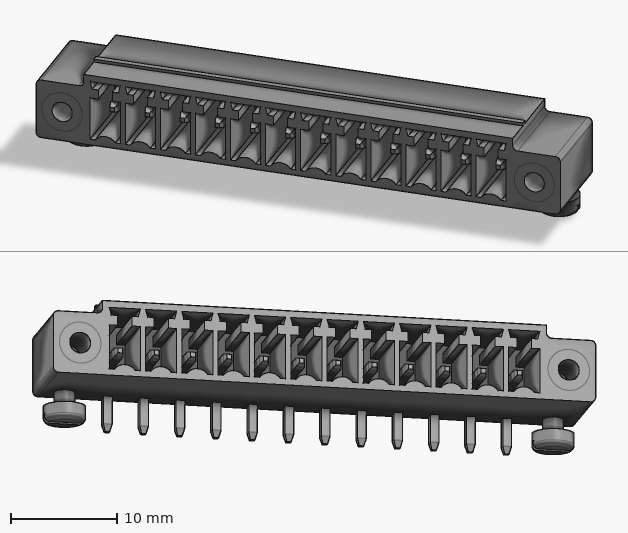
import cadquery as cq


LENGTH = 52.3
DEPTH = 9.2
HEIGHT = 7.25
FLANGE_HEIGHT = 6.0
FLANGE_LENGTH = 4.75
CORNER_RADIUS = 0.5
BLOCK_LENGTH = LENGTH - 2 * FLANGE_LENGTH

RIB_HEIGHT = 0.3
RIB_WIDTH = 0.6
RIB_FRONT = 2.9

PIN_COUNT = 12
PITCH = 3.5
PIN_SIZE = 0.84
PIN_LENGTH_BELOW = 3.4
PIN_AXIS_HEIGHT = FLANGE_HEIGHT / 2
PIN_TIP_SETBACK = 2.0
PIN_TAIL_SETBACK = 1.2
TIP_TAPER_LENGTH = 0.7
TIP_SIZE = 0.45

CHAMBER_WIDTH = 3.0
CHAMBER_DEPTH = 7.0
CHAMBER_FLOOR = 0.6
CHAMBER_SHOULDER = 4.9
CHAMBER_TOP = 6.6
NECK_WIDTH = 1.4
NECK_TOP = 5.85
KEY_BASE_WIDTH = 2.6
RIDGE_WIDTH = 2.0
RIDGE_HEIGHT = 0.5

INSERT_X = LENGTH / 2 - 2.6
INSERT_DIAMETER = 4.0
INSERT_BORE = 2.0
INSERT_DEPTH = 5.0
SCREW_SETBACK = 2.1
SCREW_DIAMETER = 2.0
SCREW_EMBEDDED = 2.0
HEAD_DIAMETER = 4.0
HEAD_TOP = -1.4
HEAD_HEIGHT = 1.6
HEAD_EDGE_RADIUS = 0.5
SLOT_WIDTH = 0.6
SLOT_DEPTH = 0.8


def make_housing():
    """Long block with a lower flange at each end and a rib along its top."""
    flanges = cq.Workplane("XY").box(LENGTH, DEPTH, FLANGE_HEIGHT, centered=(True, False, False))
    block = cq.Workplane("XY").box(BLOCK_LENGTH, DEPTH, HEIGHT, centered=(True, False, False))
    rib = (
        cq.Workplane("XY", origin=(0, RIB_FRONT, HEIGHT))
        .box(BLOCK_LENGTH, RIB_WIDTH, RIB_HEIGHT, centered=(True, False, False))
    )
    housing = flanges.union(block)
    for side in (-1, 1):
        for corner in (
            (side * LENGTH / 2, DEPTH / 2, 0),
            (side * LENGTH / 2, DEPTH / 2, FLANGE_HEIGHT),
            (side * BLOCK_LENGTH / 2, DEPTH / 2, FLANGE_HEIGHT),
        ):
            edge = cq.selectors.NearestToPointSelector(corner)
            housing = housing.edges("|Y").edges(edge).fillet(CORNER_RADIUS)
    return housing.union(rib)


def make_chamber(x):
    """Keyed pocket for one contact, with a rounded ridge along its floor."""
    half = CHAMBER_WIDTH / 2
    half_neck = NECK_WIDTH / 2
    half_key = KEY_BASE_WIDTH / 2
    half_ridge = RIDGE_WIDTH / 2
    outline = (
        cq.Workplane("XZ", origin=(x, 0, 0))
        .moveTo(-half, CHAMBER_FLOOR)
        .lineTo(-half_ridge, CHAMBER_FLOOR)
        .threePointArc((0, CHAMBER_FLOOR + RIDGE_HEIGHT), (half_ridge, CHAMBER_FLOOR))
        .lineTo(half, CHAMBER_FLOOR)
        .lineTo(half, CHAMBER_SHOULDER)
        .lineTo(half_neck, CHAMBER_SHOULDER)
        .lineTo(half_neck, NECK_TOP)
        .lineTo(half_key, NECK_TOP)
        .lineTo(half, CHAMBER_TOP)
        .lineTo(-half, CHAMBER_TOP)
        .lineTo(-half_key, NECK_TOP)
        .lineTo(-half_neck, NECK_TOP)
        .lineTo(-half_neck, CHAMBER_SHOULDER)
        .lineTo(-half, CHAMBER_SHOULDER)
        .close()
    )
    return outline.extrude(-CHAMBER_DEPTH)


def make_tapered_bar(start_plane, length):
    """Square bar that ends in a tapered tip, extruded along the plane's normal."""
    shank_length = length - TIP_TAPER_LENGTH
    shank = cq.Workplane(start_plane).rect(PIN_SIZE, PIN_SIZE).extrude(shank_length)
    tip = (
        shank.faces(cq.selectors.DirectionMinMaxSelector(start_plane.zDir))
        .workplane()
        .rect(PIN_SIZE, PIN_SIZE)
        .workplane(offset=TIP_TAPER_LENGTH)
        .rect(TIP_SIZE, TIP_SIZE)
        .loft(combine=False)
    )
    return shank.union(tip)


def make_pin(x):
    """Right-angle contact: mating end toward -Y, solder tail toward -Z."""
    tail_y = DEPTH - PIN_TAIL_SETBACK
    bend = (x, tail_y, PIN_AXIS_HEIGHT)
    toward_front = cq.Plane(origin=bend, xDir=(1, 0, 0), normal=(0, -1, 0))
    downward = cq.Plane(origin=bend, xDir=(1, 0, 0), normal=(0, 0, -1))
    mating_end = make_tapered_bar(toward_front, tail_y - PIN_TIP_SETBACK)
    tail = make_tapered_bar(downward, PIN_AXIS_HEIGHT + PIN_LENGTH_BELOW)
    return mating_end.union(tail)


def make_insert(x):
    """Bored sleeve that sits flush with the mating face."""
    return (
        cq.Workplane("XZ", origin=(x, 0, FLANGE_HEIGHT / 2))
        .circle(INSERT_DIAMETER / 2)
        .circle(INSERT_BORE / 2)
        .extrude(-INSERT_DEPTH)
    )


def make_insert_seat(x):
    """Blind hole that receives an insert."""
    return (
        cq.Workplane("XZ", origin=(x, 0, FLANGE_HEIGHT / 2))
        .circle(INSERT_DIAMETER / 2)
        .extrude(-INSERT_DEPTH)
    )


def make_screw(x):
    """Slotted mounting screw hanging below a flange."""
    y = DEPTH - SCREW_SETBACK
    head_bottom = HEAD_TOP - HEAD_HEIGHT
    shaft = (
        cq.Workplane("XY", origin=(x, y, HEAD_TOP))
        .circle(SCREW_DIAMETER / 2)
        .extrude(SCREW_EMBEDDED - HEAD_TOP)
    )
    head = (
        cq.Workplane("XY", origin=(x, y, head_bottom))
        .circle(HEAD_DIAMETER / 2)
        .extrude(HEAD_HEIGHT)
        .faces("<Z")
        .edges()
        .fillet(HEAD_EDGE_RADIUS)
    )
    slot = (
        cq.Workplane("XY", origin=(x, y, head_bottom))
        .box(HEAD_DIAMETER, SLOT_WIDTH, SLOT_DEPTH, centered=(True, True, False))
    )
    return head.cut(slot).union(shaft)


pin_positions = [(i - (PIN_COUNT - 1) / 2) * PITCH for i in range(PIN_COUNT)]

result = make_housing()
for pin_x in pin_positions:
    result = result.cut(make_chamber(pin_x)).union(make_pin(pin_x))

for insert_x in (-INSERT_X, INSERT_X):
    result = result.union(make_screw(insert_x)).cut(make_insert_seat(insert_x))

for insert_x in (-INSERT_X, INSERT_X):
    result = result.union(make_insert(insert_x), clean=False)